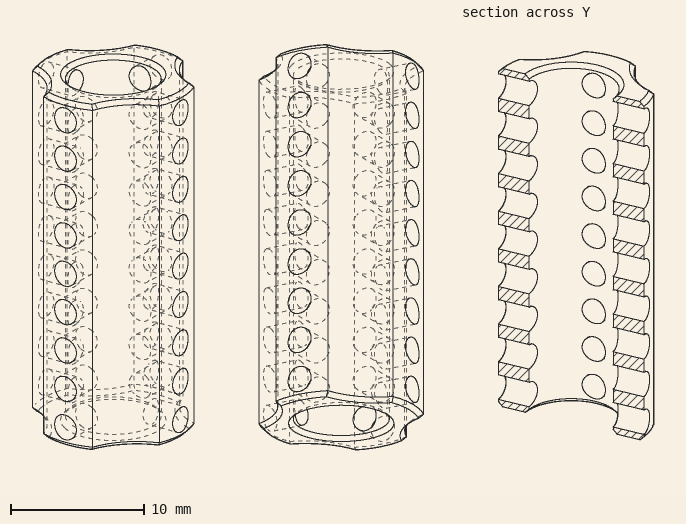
import cadquery as cq
import math

outer_diameter = 12.5
bore_diameter = 7.2
edge_chamfer = 0.35

hole_diameter = 2.0
hole_pitch = 3.125
hole_count = 9
length = hole_count * hole_pitch

flute_count = 4
lobe_width = 4.5
flute_floor_radius = 5.1

outer_radius = outer_diameter / 2
flute_half_angle = math.pi / flute_count - math.asin(lobe_width / 2 / outer_radius)
corner_offset = outer_radius * math.cos(flute_half_angle)
half_chord = outer_radius * math.sin(flute_half_angle)
flute_depth = corner_offset - flute_floor_radius
flute_radius = (half_chord**2 + flute_depth**2) / (2 * flute_depth)
flute_center_offset = flute_floor_radius + flute_radius


def fluted_tube():
    """Round bar with flutes on the diagonals, a through bore and chamfered end edges."""
    bar = cq.Workplane("XY").circle(outer_radius).extrude(length)
    flutes = (
        cq.Workplane("XY")
        .polarArray(flute_center_offset, 180 / flute_count, 360, flute_count)
        .circle(flute_radius)
        .extrude(length)
    )
    bore = cq.Workplane("XY").circle(bore_diameter / 2).extrude(length)
    return bar.cut(flutes).cut(bore).faces("<Z or >Z").edges().chamfer(edge_chamfer)


def hole_row(plane):
    """Row of cross holes along Z, normal to the given plane and through both walls."""
    row = cq.Workplane(plane)
    centers = [(0, (index + 0.5) * hole_pitch) for index in range(hole_count)]
    return row.pushPoints(centers).circle(hole_diameter / 2).extrude(outer_diameter, both=True)


result = fluted_tube().cut(hole_row("XZ")).cut(hole_row("YZ"))